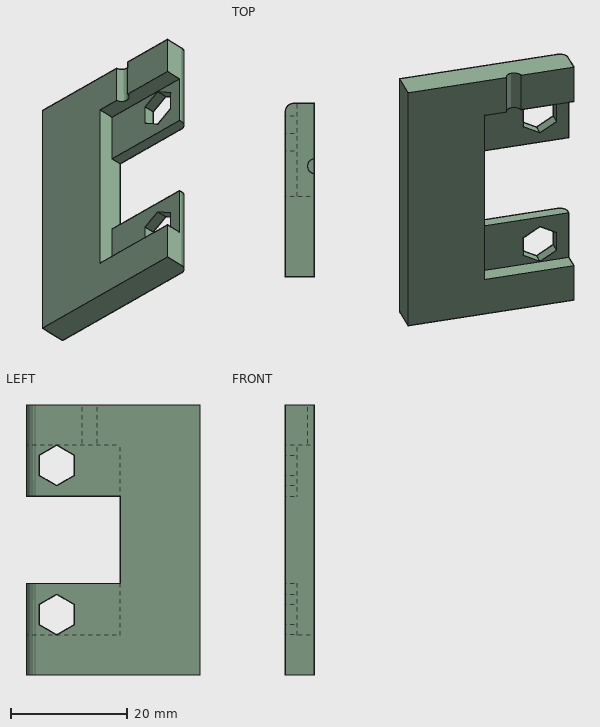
import cadquery as cq
import math

thickness = 5.0
width = 29.85
height = 46.5
edge_radius = 1.5

notch_depth = 16.1
notch_height = 14.95

web_thickness = 2.05
border_height = 6.9
recess_height = height - 2 * border_height

hex_across_flats = 6.0
hex_edge_distance = 5.2
hex_spacing = 25.65

groove_edge_distance = 10.85
groove_radius = 1.3
groove_depth = 1.15

back_x = thickness / 2
front_x = -back_x
edge_y = width / 2


def make_plate():
    plate = cq.Workplane("XY").box(thickness, width, height)
    return plate.edges("<X and >Y").fillet(edge_radius)


def edge_cutout(start_x, depth_y, height_z):
    """Box running from start_x to the +X face and inward from the +Y edge."""
    size_x = back_x - start_x
    cutout = cq.Workplane("XY").box(size_x, depth_y, height_z)
    return cutout.translate((start_x + size_x / 2, edge_y - depth_y / 2, 0))


def make_hex_hole(centre_z):
    across_corners = hex_across_flats / math.cos(math.pi / 6)
    prism = cq.Workplane("YZ").polygon(6, across_corners).extrude(thickness)
    prism = prism.rotate((0, 0, 0), (1, 0, 0), 90)
    return prism.translate((front_x, edge_y - hex_edge_distance, centre_z))


def make_groove():
    centre_x = back_x - groove_depth + groove_radius
    return (
        cq.Workplane("XY", origin=(0, 0, height / 2))
        .center(centre_x, edge_y - groove_edge_distance)
        .circle(groove_radius)
        .extrude(-border_height)
    )


result = (
    make_plate()
    .cut(edge_cutout(front_x, notch_depth, notch_height))
    .cut(edge_cutout(front_x + web_thickness, notch_depth, recess_height))
    .cut(make_groove())
)
for hex_z in (-hex_spacing / 2, hex_spacing / 2):
    result = result.cut(make_hex_hole(hex_z))